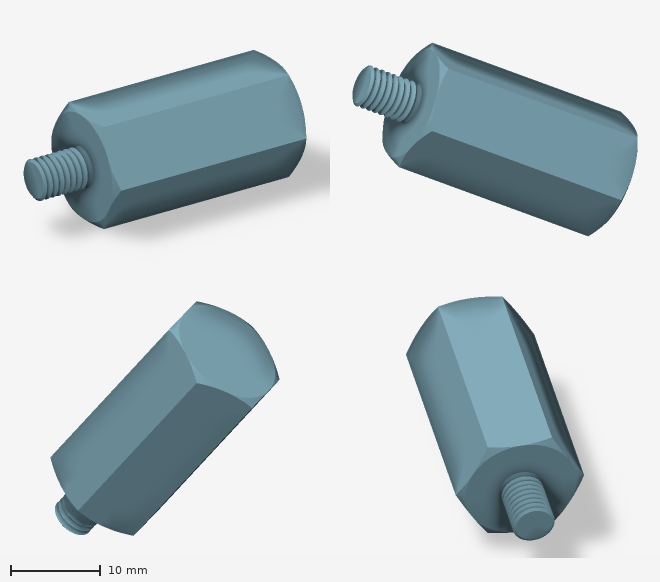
import cadquery as cq
import math

side_count = 6
across_flats = 12.7
body_length = 25.4
corner_chamfer_angle = 30.0

stud_length = 6.35
thread_pitch = 0.75
crest_radius = 2.4
root_radius = 1.95

flat_radius = across_flats / 2
corner_radius = flat_radius / math.cos(math.pi / side_count)
chamfer_depth = (corner_radius - flat_radius) * math.tan(math.radians(corner_chamfer_angle))


def revolve_about_y(points):
    """Solid of revolution about the Y axis from (radius, y) points."""
    return cq.Workplane("ZY").polyline(points).close().revolve(360, (0, 0, 0), (0, 1, 0))


def make_body():
    """Hexagonal bar with its corners turned off conically at both ends."""
    hexagon = (
        cq.Workplane("XZ")
        .polygon(side_count, 2 * corner_radius)
        .extrude(-body_length)
    )
    turned_envelope = revolve_about_y([
        (0, 0),
        (flat_radius, 0),
        (corner_radius, chamfer_depth),
        (corner_radius, body_length - chamfer_depth),
        (flat_radius, body_length),
        (0, body_length),
    ])
    return hexagon.intersect(turned_envelope)


def make_stud():
    """Stud with ring-shaped V grooves; the last crest slopes down to the flat tip."""
    groove_count = int(stud_length / thread_pitch)
    profile = [(0, 0), (crest_radius, 0)]
    for groove in range(groove_count):
        profile.append((root_radius, -(groove + 0.5) * thread_pitch))
        profile.append((crest_radius, -(groove + 1) * thread_pitch))

    flank_slope = (crest_radius - root_radius) / (thread_pitch / 2)
    tip_run = stud_length - groove_count * thread_pitch
    tip_radius = crest_radius - flank_slope * tip_run
    profile += [(tip_radius, -stud_length), (0, -stud_length)]
    return revolve_about_y(profile)


result = make_body().union(make_stud())